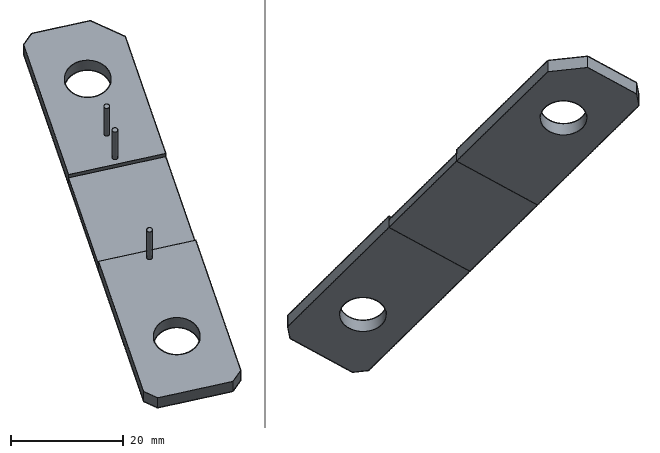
import cadquery as cq

length = 85.0
width = 18.0
total_height = 11.05

terminal_thickness = 3.0
strip_thickness = 2.0
strip_length = 20.2
strip_start = (length - strip_length) / 2
strip_end = strip_start + strip_length

small_chamfer = 2.0
large_chamfer = 5.1
hole_diameter = 8.3
hole_inset = 12.5

pin_diameter = 1.0
pin_height = total_height - terminal_thickness
pin_inset = 1.5
pin_spacing = 5.5
left_pin_x = strip_start - pin_inset
right_pin_x = strip_end + pin_inset
pin_positions = [left_pin_x - pin_spacing, left_pin_x, right_pin_x]


def make_plate(start, end, thickness):
    """Flat full-width plate spanning start to end along X."""
    plate = cq.Workplane("XY").box(end - start, width, thickness, centered=(False, True, False))
    return plate.translate((start, 0, 0))


def drill_bolt_hole(terminal, x):
    """Cut a bolt hole through a terminal, on its centreline."""
    cutter = cq.Workplane("XY").center(x, 0).circle(hole_diameter / 2).extrude(terminal_thickness)
    return terminal.cut(cutter)


def make_left_terminal():
    """Left terminal, with one larger corner chamfer that marks its orientation."""
    terminal = make_plate(0, strip_start, terminal_thickness)
    terminal = terminal.edges("|Z").edges("<X").edges("<Y").chamfer(small_chamfer)
    terminal = terminal.edges("|Z").edges(">Y").edges("<X").chamfer(large_chamfer)
    return drill_bolt_hole(terminal, hole_inset)


def make_right_terminal():
    """Right terminal, with two equal corner chamfers."""
    terminal = make_plate(strip_end, length, terminal_thickness)
    terminal = terminal.edges("|Z").edges(">X").chamfer(small_chamfer)
    return drill_bolt_hole(terminal, length - hole_inset)


def make_pin(x):
    """Round sense pin standing on the top face of a terminal."""
    base = cq.Workplane("XY").workplane(offset=terminal_thickness)
    return base.center(x, 0).circle(pin_diameter / 2).extrude(pin_height)


left_terminal = make_left_terminal()
right_terminal = make_right_terminal()
strip = make_plate(strip_start, strip_end, strip_thickness)
pins = [make_pin(x) for x in pin_positions]

result = cq.Compound.makeCompound([
    left_terminal.val(),
    right_terminal.val(),
    strip.val(),
    *[pin.val() for pin in pins],
])